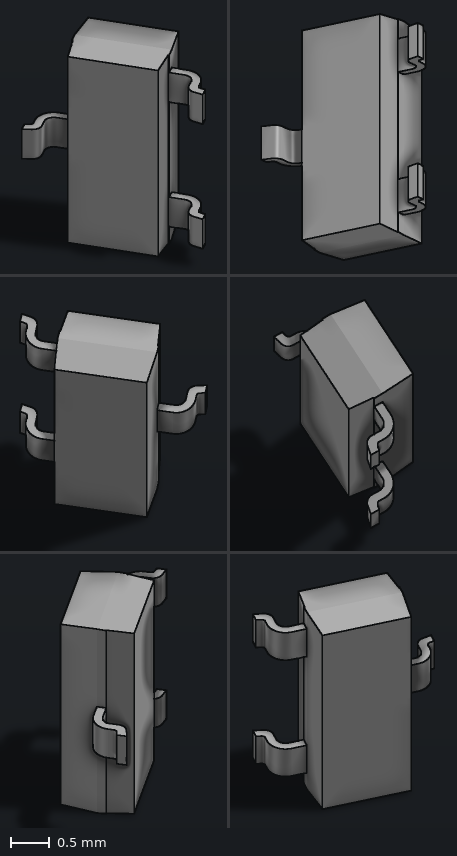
import cadquery as cq
import math

body_width = 1.3
body_height = 2.9
back_depth = 0.487
front_depth = 0.48
side_draft = 0.045
end_draft = 0.03

lead_span = 2.42
lead_thickness = 0.125
lead_width = 0.452
lead_pitch = 0.95
foot_reach = 0.105
tip_y = -0.513
tip_thickness = 0.128
foot_angle = math.radians(13)
shoulder_inner_radius = 0.125
shoulder_outer_radius = shoulder_inner_radius + lead_thickness
ankle_outer_radius = 0.128
ankle_inner_radius = 0.05

half_width = body_width / 2
half_height = body_height / 2


def make_body():
    face_half_width = half_width - side_draft
    face_half_height = half_height - end_draft
    step_half_width = half_width - side_draft * lead_thickness / front_depth
    right_side = [
        (face_half_width, back_depth),
        (half_width, 0),
        (half_width, -lead_thickness),
        (step_half_width, -lead_thickness),
        (face_half_width, -front_depth),
    ]
    left_side = [(-x, y) for x, y in reversed(right_side)]
    plan = (
        cq.Workplane("XY")
        .workplane(offset=-half_height)
        .polyline(right_side + left_side)
        .close()
        .extrude(body_height)
    )
    end_profile = [
        (back_depth, face_half_height),
        (0, half_height),
        (-front_depth, face_half_height),
        (-front_depth, -face_half_height),
        (0, -half_height),
        (back_depth, -face_half_height),
    ]
    ends = (
        cq.Workplane("YZ")
        .polyline(end_profile)
        .close()
        .extrude(half_width, both=True)
    )
    return plan.intersect(ends)


def make_lead():
    """Right-hand lead, centred on Z = 0."""
    tip_x = lead_span / 2
    outer_x = tip_x - foot_reach
    inner_x = outer_x - lead_thickness
    root_x = half_width - side_draft
    slope = math.tan(foot_angle)
    inner_ankle = (outer_x, tip_y + tip_thickness + foot_reach * slope)
    outer_ankle = (inner_x, tip_y + (tip_x - inner_x) * slope)
    outer_shoulder = (outer_x, 0)
    inner_shoulder = (inner_x, -lead_thickness)
    lead = (
        cq.Workplane("XY")
        .polyline([
            (root_x, 0),
            outer_shoulder,
            inner_ankle,
            (tip_x, tip_y + tip_thickness),
            (tip_x, tip_y),
            outer_ankle,
            inner_shoulder,
            (root_x, -lead_thickness),
        ])
        .close()
        .extrude(lead_width / 2, both=True)
    )
    bends = [
        (outer_shoulder, shoulder_outer_radius),
        (inner_shoulder, shoulder_inner_radius),
        (outer_ankle, ankle_outer_radius),
        (inner_ankle, ankle_inner_radius),
    ]
    for (x, y), radius in bends:
        corner = cq.selectors.NearestToPointSelector((x, y, 0))
        lead = lead.edges("|Z").edges(corner).fillet(radius)
    return lead


right_lead = make_lead()
left_lead = right_lead.mirror("YZ")

result = make_body().union(left_lead)
for z in (-lead_pitch, lead_pitch):
    result = result.union(right_lead.translate((0, 0, z)))